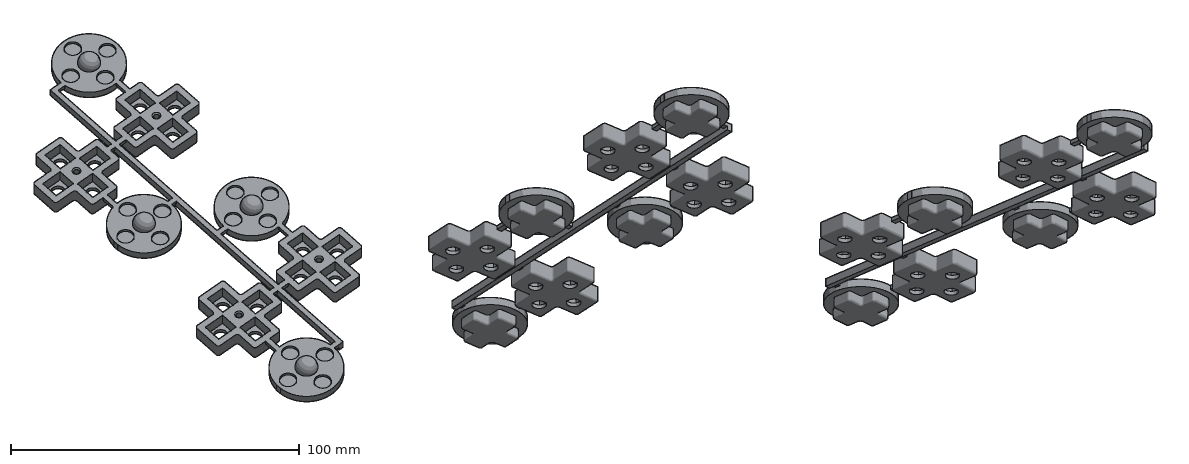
import cadquery as cq

CROSS_X = 42.5
CROSS_Y = 18.5
DISC_GAP_X = 33.0
DISC_Y = 16.5

CELL_OFFSET = 8.5
CELLS = [(CELL_OFFSET, 0), (0, CELL_OFFSET), (-CELL_OFFSET, 0), (0, -CELL_OFFSET)]

EDGE_RADIUS = 1.0

CROSS_SPAN = 30.0
CROSS_ARM = 12.0
CROSS_HEIGHT = 6.0
WALL = 2.5
FLOOR = 1.5
POCKET_LENGTH = 8.0
POCKET_WIDTH = CROSS_ARM - 2 * WALL
POCKET_HOLE_DIA = 5.0
CENTRE_BORE_DIA = 2.0
CENTRE_BORE_DEPTH = 4.0
COUNTERSINK_DIA = 3.0
COUNTERSINK_ANGLE = 90.0

DISC_DIA = 26.0
DISC_THICKNESS = 3.0
DOME_RADIUS = 4.0
RECESS_DIA = 6.0
RECESS_DEPTH = 1.0
KEY_SPAN = 20.0
KEY_ARM = 8.0
KEY_HEIGHT = 4.0
RIM_FLAT_WIDTH = 2.0

RUNNER_WIDTH = 2.0
RUNNER_Y = -0.5
RUNNER_DEPTH = DISC_THICKNESS
LINK_WIDTH = 2.0
LINK_DEPTH = 1.5

RIM_OVERLAP = 0.5


def box_down(x_min, x_max, y_min, y_max, depth):
    """Box hanging down from Z = 0."""
    box = cq.Workplane("XY").box(x_max - x_min, y_max - y_min, depth, centered=False)
    return box.translate((x_min, y_min, -depth))


def plus_block(span, arm, height):
    """Plus-shaped block hanging down from Z = 0, with rounded vertical and bottom edges."""
    along_x = cq.Workplane("XY").rect(span, arm).extrude(-height)
    along_y = cq.Workplane("XY").rect(arm, span).extrude(-height)
    block = along_x.union(along_y).edges("|Z").fillet(EDGE_RADIUS)
    return block.faces("<Z").edges().fillet(EDGE_RADIUS)


def make_cross():
    """Cross with an open pocket and a floor hole in each arm, and a blind countersunk bore."""
    cross = plus_block(CROSS_SPAN, CROSS_ARM, CROSS_HEIGHT)
    for x, y in CELLS:
        size_x = POCKET_LENGTH if x else POCKET_WIDTH
        size_y = POCKET_LENGTH if y else POCKET_WIDTH
        pocket = cq.Workplane("XY").center(x, y).rect(size_x, size_y).extrude(FLOOR - CROSS_HEIGHT)
        cross = cross.cut(pocket)
    holes = cq.Workplane("XY").pushPoints(CELLS).circle(POCKET_HOLE_DIA / 2).extrude(-CROSS_HEIGHT)
    cross = cross.cut(holes)
    top = cross.faces(">Z").workplane(origin=(0, 0, 0))
    return top.cskHole(CENTRE_BORE_DIA, COUNTERSINK_DIA, COUNTERSINK_ANGLE, CENTRE_BORE_DEPTH)


def make_disc():
    """Disc with four shallow round recesses, a central dome, a key below and a small rim flat at +Y."""
    radius = DISC_DIA / 2
    half_flat = RIM_FLAT_WIDTH / 2
    plate = cq.Workplane("XY").circle(radius).extrude(-DISC_THICKNESS)
    rim_flat = box_down(-half_flat, half_flat, radius - RIM_OVERLAP, radius, DISC_THICKNESS)
    recesses = cq.Workplane("XY").pushPoints(CELLS).circle(RECESS_DIA / 2).extrude(-RECESS_DEPTH)
    key = plus_block(KEY_SPAN, KEY_ARM, KEY_HEIGHT).translate((0, 0, -DISC_THICKNESS))
    upper_half = cq.Workplane("XY").circle(radius).extrude(DOME_RADIUS)
    dome = cq.Workplane("XY").sphere(DOME_RADIUS).intersect(upper_half)
    return plate.union(rim_flat).cut(recesses).union(key).union(dome)


def make_links(cross_x, disc_x):
    """Links joining a disc to its cross, and both of them to the runner."""
    half_link = LINK_WIDTH / 2
    disc_right = disc_x + DISC_DIA / 2 - RIM_OVERLAP
    disc_bottom = DISC_Y - DISC_DIA / 2 + RIM_OVERLAP
    cross_left = cross_x - CROSS_SPAN / 2
    cross_bottom = CROSS_Y - CROSS_SPAN / 2
    disc_to_cross = box_down(disc_right, cross_left, CROSS_Y - half_link, CROSS_Y + half_link, LINK_DEPTH)
    cross_to_runner = box_down(cross_x - half_link, cross_x + half_link, 0, cross_bottom, LINK_DEPTH)
    disc_to_runner = box_down(disc_x, disc_x + LINK_WIDTH, 0, disc_bottom, LINK_DEPTH)
    return disc_to_cross, cross_to_runner, disc_to_runner


def make_upper_pair(cross_x):
    """Cross above the runner with the disc to its left and their links."""
    disc_x = cross_x - DISC_GAP_X
    pair = make_cross().translate((cross_x, CROSS_Y, 0))
    pair = pair.union(make_disc().translate((disc_x, DISC_Y, 0)))
    for link in make_links(cross_x, disc_x):
        pair = pair.union(link)
    return pair


def make_runner():
    """Straight bar along X, ending in line with the centres of the outermost discs."""
    runner_end = CROSS_X + DISC_GAP_X
    half_width = RUNNER_WIDTH / 2
    return box_down(-runner_end, runner_end, RUNNER_Y - half_width, RUNNER_Y + half_width, RUNNER_DEPTH)


result = make_runner()
for pair_x in (-CROSS_X, CROSS_X):
    upper_pair = make_upper_pair(pair_x)
    lower_pair = upper_pair.rotate((0, 0, 0), (0, 0, 1), 180)
    result = result.union(upper_pair).union(lower_pair)